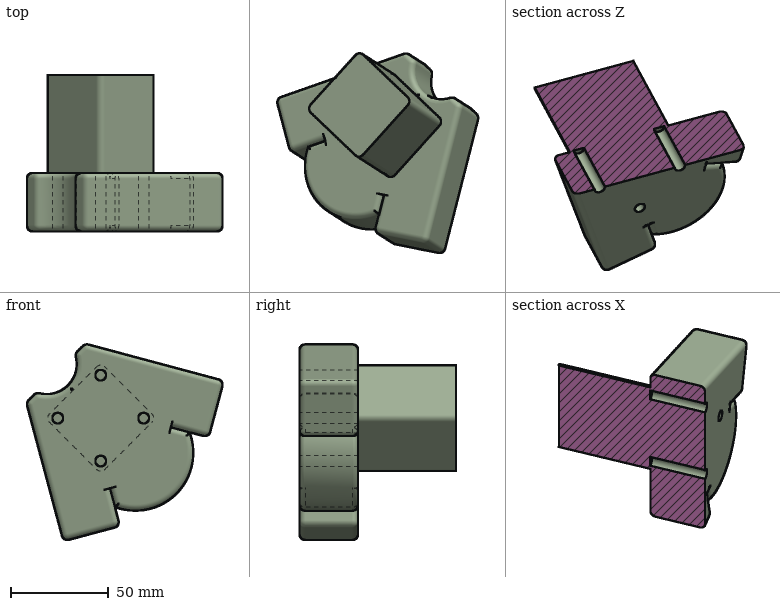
import math

import cadquery as cq

AXIS_TILT = -45.0
ARM_ANGLE = 30.0

PLATE_DEPTH = 30.0
EDGE_RADIUS = 3.0

ARM_OUTER_OFFSET = 34.7
ARM_WIDTH = 30.0
ARM_INNER_OFFSET = ARM_OUTER_OFFSET - ARM_WIDTH
ARM_REACH = 55.85
GROOVE_START = 35.8

NOSE_OFFSET = 32.5
SCOOP_OFFSET = 38.9
SCOOP_RADIUS = 30.4 / 2

LOBE_OFFSET = 25.0
LOBE_RADIUS = 29.65

BLOCK_SIDE = 40.0
BLOCK_LENGTH = 50.0
HOLE_DIAMETER = 5.5
HOLE_SPACING = 31.0
HOLE_DEPTH = PLATE_DEPTH

COS_ARM = math.cos(math.radians(ARM_ANGLE))
SIN_ARM = math.sin(math.radians(ARM_ANGLE))


def arm_point(reach, offset):
    """Local point of the upper arm, from its distance along and beside the arm."""
    return (reach * COS_ARM - offset * SIN_ARM, reach * SIN_ARM + offset * COS_ARM)


def mirrored(points):
    """Off-axis points repeated on the other side of the axis, in reverse order."""
    return [(along, -across) for along, across in reversed(points) if across != 0]


def extrude_outline(outline, depth):
    """Extrude a local outline from the front plane towards +Y."""
    return outline.extrude(-depth)


def symmetric_prism(half_outline):
    """Plate-thick prism from the outline points on one side of the axis."""
    outline = cq.Workplane("XZ").polyline(half_outline + mirrored(half_outline)).close()
    return extrude_outline(outline, PLATE_DEPTH)


APEX = (-ARM_INNER_OFFSET / SIN_ARM, 0.0)


def make_arms():
    """Both arms and the scooped nose, with every outer edge rounded."""
    nose_across = (ARM_OUTER_OFFSET - NOSE_OFFSET * SIN_ARM) / COS_ARM
    half_outline = [
        (-NOSE_OFFSET, nose_across),
        arm_point(ARM_REACH, ARM_OUTER_OFFSET),
        arm_point(ARM_REACH, ARM_INNER_OFFSET),
        APEX,
    ]
    scoop = cq.Workplane("XZ").center(-SCOOP_OFFSET, 0).circle(SCOOP_RADIUS)
    arms = symmetric_prism(half_outline).cut(extrude_outline(scoop, PLATE_DEPTH))
    arms = arms.edges("|Y").fillet(EDGE_RADIUS)
    return arms.faces("<Y or >Y").edges().fillet(EDGE_RADIUS)


def make_lobe():
    """Round lobe between the arms, with its front and back edges rounded."""
    beyond_disc = LOBE_OFFSET + 2 * LOBE_RADIUS
    sector = symmetric_prism([APEX, arm_point(beyond_disc, ARM_INNER_OFFSET)])
    disc = cq.Workplane("XZ").center(LOBE_OFFSET, 0).circle(LOBE_RADIUS)
    lobe = extrude_outline(disc, PLATE_DEPTH).intersect(sector)
    return lobe.faces("<Y or >Y").edges().fillet(EDGE_RADIUS)


def make_core():
    """Solid middle that joins arms and lobe and ends the grooves between them."""
    overlap = 2 * EDGE_RADIUS
    return symmetric_prism([
        (-(ARM_INNER_OFFSET + overlap) / SIN_ARM, 0.0),
        arm_point(GROOVE_START, ARM_INNER_OFFSET + overlap),
        arm_point(GROOVE_START, ARM_INNER_OFFSET - overlap),
    ])


def make_block():
    """Square block that stands on the back of the plate."""
    outline = cq.Workplane("XZ", origin=(0, PLATE_DEPTH, 0)).rect(BLOCK_SIDE, BLOCK_SIDE)
    return extrude_outline(outline, BLOCK_LENGTH).edges("|Y").fillet(EDGE_RADIUS)


def make_holes():
    """Screw holes on a square pattern, open at the front face."""
    outline = (
        cq.Workplane("XZ")
        .rect(HOLE_SPACING, HOLE_SPACING, forConstruction=True)
        .vertices()
        .circle(HOLE_DIAMETER / 2)
    )
    return extrude_outline(outline, HOLE_DEPTH)


plate = make_arms().union(make_core()).union(make_lobe()).clean()
part = plate.union(make_block()).cut(make_holes())
result = part.rotate((0, 0, 0), (0, 1, 0), -AXIS_TILT)